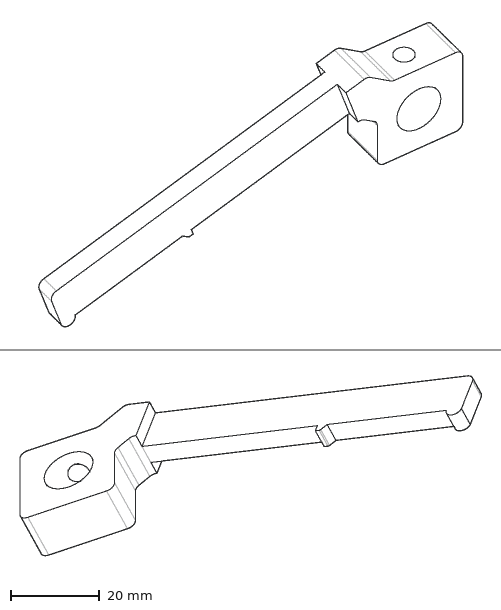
import cadquery as cq
import math

head_width = 12.0
block_half_height = 12.0
block_back = 12.0
block_front = -11.3
bore_diameter = 12.0
screw_hole_diameter = 5.0
edge_radius = 2.0

neck_angle = math.radians(35)
neck_top_start = -7.2
neck_bottom_start = 1.6

arm_angle = math.radians(17.5)
arm_width = 5.0
arm_thickness = 11.0
arm_length = 82.3
shoulder_y = -19.9
shoulder_z = 14.8
arm_overlap = 1.1
length_tolerance = 0.01

foot_radius = 2.0
foot_inset = 0.2
hook_start = 45.1
hook_length = 2.5
hook_depth = 1.6
hook_tip_length = 1.2
hook_tip_radius = 0.4


def arm_point(along, down):
    """(Y, Z) of a point measured along the arm and down from its top face."""
    y = shoulder_y - along * math.cos(arm_angle) + down * math.sin(arm_angle)
    z = shoulder_z - along * math.sin(arm_angle) - down * math.cos(arm_angle)
    return y, z


def neck_corner(start, arm_face_point):
    """Intersection of a neck face through start with an arm face."""
    neck_slope = -math.tan(neck_angle)
    arm_slope = math.tan(arm_angle)
    rise = arm_face_point[1] - start[1] + arm_slope * (start[0] - arm_face_point[0])
    run = rise / (neck_slope - arm_slope)
    return start[0] + run, start[1] + neck_slope * run


def extrude_centred(outline, width):
    """Extrude a closed YZ outline so that it is centred on X = 0."""
    return outline.extrude(width).translate((-width / 2, 0, 0))


def make_head():
    top_start = (neck_top_start, block_half_height)
    bottom_start = (block_front, neck_bottom_start)
    shoulder_top = arm_point(0, 0)
    shoulder_bottom = arm_point(0, arm_thickness)
    outline = cq.Workplane("YZ").polyline([
        (block_back, -block_half_height),
        (block_back, block_half_height),
        top_start,
        neck_corner(top_start, shoulder_top),
        shoulder_top,
        shoulder_bottom,
        neck_corner(bottom_start, shoulder_bottom),
        bottom_start,
        (block_front, -block_half_height),
    ]).close()
    head = extrude_centred(outline, head_width)
    shoulder_middle = arm_point(0, arm_thickness / 2)

    def is_rounded(edge):
        """True for every edge except the two sharp shoulder edges."""
        centre = edge.Center()
        distance = math.hypot(centre.y - shoulder_middle[0], centre.z - shoulder_middle[1])
        return distance > arm_thickness / 2 + length_tolerance

    return head.edges("|X").filter(is_rounded).fillet(edge_radius)


def make_arm():
    outline = cq.Workplane("YZ").polyline([
        arm_point(-arm_overlap, 0),
        arm_point(arm_length, 0),
        arm_point(arm_length, arm_thickness),
        arm_point(-arm_overlap, arm_thickness),
    ]).close()
    arm = extrude_centred(outline, arm_width)
    return arm.edges("|X").edges("<Y").fillet(edge_radius)


def make_foot():
    centre = arm_point(arm_length - foot_radius, arm_thickness - foot_inset)
    outline = cq.Workplane("YZ").center(*centre).circle(foot_radius)
    return extrude_centred(outline, arm_width)


def make_hook():
    tip_down = arm_thickness + hook_depth
    root_down = arm_thickness - hook_depth
    outline = cq.Workplane("YZ").polyline([
        arm_point(hook_start, root_down),
        arm_point(hook_start, tip_down),
        arm_point(hook_start + hook_tip_length, tip_down),
        arm_point(hook_start + hook_length, arm_thickness),
        arm_point(hook_start + hook_length, root_down),
    ]).close()
    hook = extrude_centred(outline, arm_width)
    return hook.edges("|X").edges("<Z").fillet(hook_tip_radius)


bore = extrude_centred(cq.Workplane("YZ").circle(bore_diameter / 2), head_width)
screw_hole = cq.Workplane("XY").circle(screw_hole_diameter / 2).extrude(block_half_height)

result = make_head().union(make_arm()).union(make_foot()).union(make_hook())
result = result.cut(bore).cut(screw_hole)